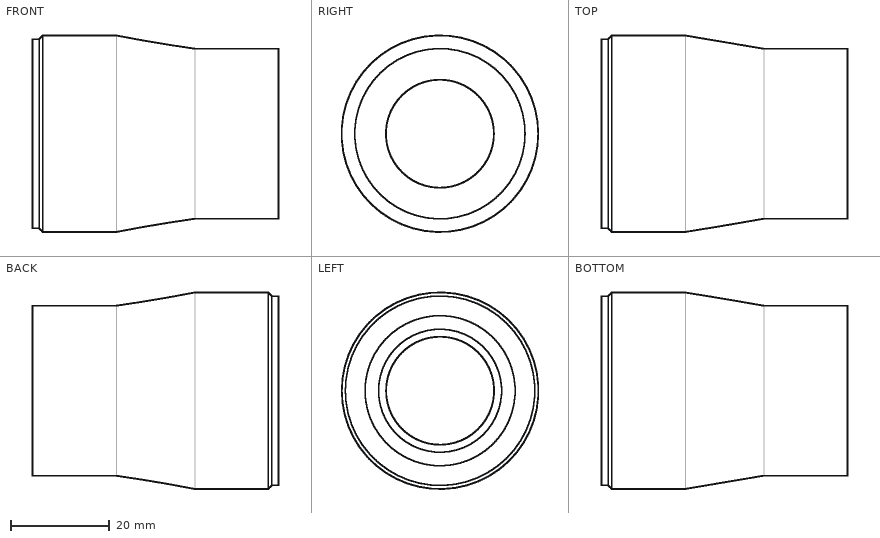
import cadquery as cq

length = 50.0
large_radius = 20.0
small_radius = 17.3
lip_radius = 19.25
lip_length = 1.35
chamfer = large_radius - lip_radius
taper_start = 17.0
taper_end = 33.0

large_bore_radius = 15.25
large_bore_depth = 15.0
throat_radius = 12.5
small_bore_radius = 10.95

outer_wall = [
    (0, lip_radius),
    (lip_length, lip_radius),
    (lip_length + chamfer, large_radius),
    (taper_start, large_radius),
    (taper_end, small_radius),
    (length, small_radius),
]
inner_wall = [
    (length, small_bore_radius),
    (taper_end, small_bore_radius),
    (taper_end, throat_radius),
    (large_bore_depth, large_bore_radius),
    (0, large_bore_radius),
]

result = (
    cq.Workplane("XY")
    .polyline(outer_wall + inner_wall)
    .close()
    .revolve(360, (0, 0, 0), (1, 0, 0))
)